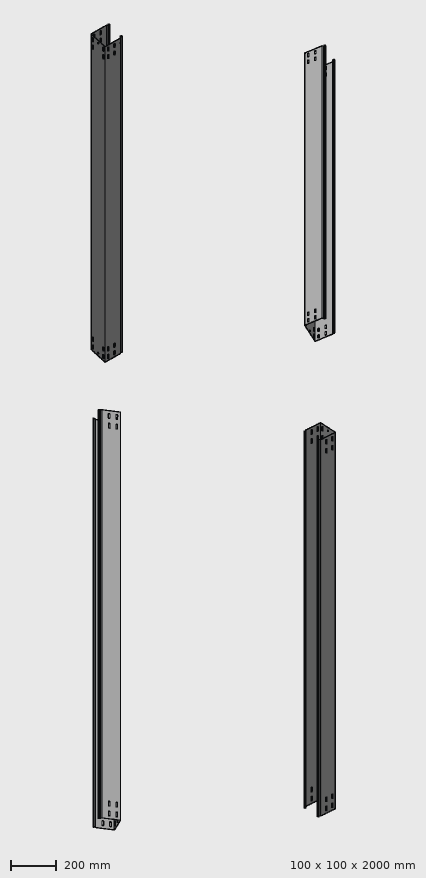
import cadquery as cq

length = 2000.0
width = 100.0
depth = 100.0
sheet = 1.5

lip_width = 10.0
lip_drop = 8.0
shoulder_inset = 0.8
shoulder_drop = 4.5
crown_inset = 5.0
groove_depth = 6.5
groove_drop = 8.8
groove_start = 13.5

slot_length = 25.0
slot_width = 7.0
first_slot = 25.0
slot_pitch = 48.0
base_slot_inset = 13.0
side_slot_heights = (18.0, 53.0)
base_hole_diameter = 7.0
base_hole_offset = 18.0

half_width = width / 2
half_depth = depth / 2
half_length = length / 2


def half_centreline():
    """Middle of the sheet on the +X side, from the base fold to the free edge of the lip."""
    half = sheet / 2
    wall = half_width - half
    top = half_depth - half
    lip_inner = half_width - lip_width + half
    return [
        (wall, -half_depth + half),
        (wall, half_depth - groove_start),
        (half_width - groove_depth, half_depth - groove_drop),
        (wall - shoulder_inset, half_depth - shoulder_drop),
        (half_width - crown_inset, top),
        (lip_inner, top),
        (lip_inner, half_depth - lip_drop + half),
    ]


def channel():
    """Constant section of sheet thickness along the whole centreline."""
    right = half_centreline()
    left = [(-x, y) for x, y in reversed(right)]
    section = cq.Workplane("XY", origin=(0, 0, -half_length)).polyline(left + right)
    return section.offset2D(sheet / 2).extrude(length)


def base_cutter(sketch):
    """Extrude a sketch on the underside of the base up through the base only."""
    return sketch.extrude(-2 * sheet)


def base_plane(x, z):
    return cq.Workplane("XZ", origin=(x, -half_depth, z))


def side_slot(y, z):
    """Slot through both side walls."""
    plane = cq.Workplane("YZ", origin=(0, y, z))
    return plane.slot2D(slot_length, slot_width, 90).extrude(half_width, both=True)


result = channel()
for end in (-1, 1):
    for offset in (first_slot, first_slot + slot_pitch):
        z = end * (half_length - offset)
        for side in (-1, 1):
            plane = base_plane(side * (half_width - base_slot_inset), z)
            result = result.cut(base_cutter(plane.slot2D(slot_length, slot_width, 90)))
        for height in side_slot_heights:
            result = result.cut(side_slot(height - half_depth, z))
    plane = base_plane(0, end * (half_length - base_hole_offset))
    result = result.cut(base_cutter(plane.circle(base_hole_diameter / 2)))